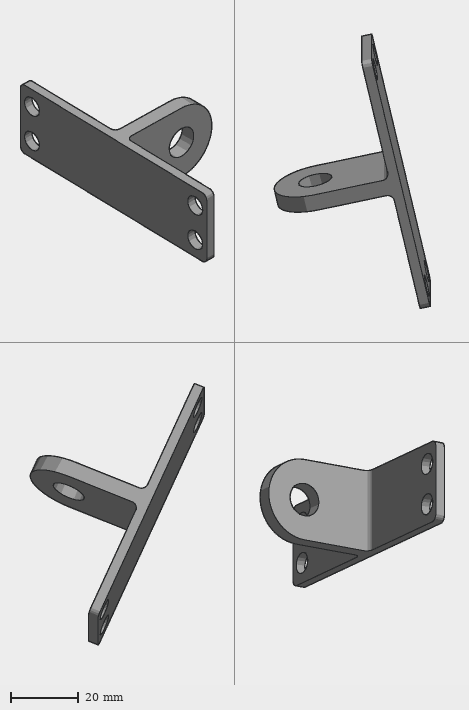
import cadquery as cq

plate_length = 80.0
height = 25.0
plate_thickness = 3.0
corner_radius = 2.0

mount_hole_diameter = 6.3
mount_hole_spacing_x = 70.0
mount_hole_spacing_z = height / 2

overall_depth = 38.0
lug_thickness = 5.0
lug_end_radius = height / 2
lug_center_y = overall_depth - lug_end_radius
lug_hole_diameter = 10.0
root_fillet_radius = 2.0


def make_plate():
    plate = (
        cq.Workplane("XZ")
        .rect(plate_length, height)
        .extrude(-plate_thickness)
        .edges("|Y")
        .fillet(corner_radius)
    )
    holes = (
        cq.Workplane("XZ")
        .rarray(mount_hole_spacing_x, mount_hole_spacing_z, 2, 2)
        .circle(mount_hole_diameter / 2)
        .extrude(-plate_thickness)
    )
    return plate.cut(holes)


def make_lug():
    """Flat lug with a full-round end and a pin hole concentric with it."""
    blank = (
        cq.Workplane("YZ")
        .moveTo(0, -height / 2)
        .lineTo(lug_center_y, -height / 2)
        .threePointArc((overall_depth, 0), (lug_center_y, height / 2))
        .lineTo(0, height / 2)
        .close()
        .extrude(lug_thickness / 2, both=True)
    )
    pin_hole = (
        cq.Workplane("YZ")
        .center(lug_center_y, 0)
        .circle(lug_hole_diameter / 2)
        .extrude(lug_thickness / 2, both=True)
    )
    return blank.cut(pin_hole)


def root_edges():
    """Selects the two vertical inside corners between lug and plate."""
    margin = root_fillet_radius / 2
    half_width = lug_thickness / 2 + margin
    return cq.selectors.BoxSelector(
        (-half_width, plate_thickness - margin, -height),
        (half_width, plate_thickness + margin, height),
    )


bracket = make_plate().union(make_lug())
result = bracket.edges("|Z").edges(root_edges()).fillet(root_fillet_radius)